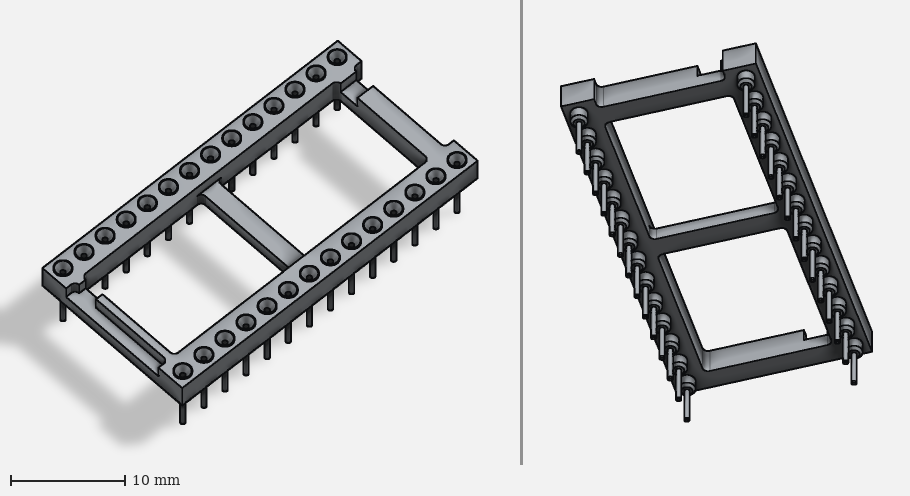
import cadquery as cq

length = 35.55
width = 17.78
frame_height = 2.63
rail_width = 3.02
ledge_height = 1.35
corner_radius = 0.5

bar_width = 1.9
end_recess = 1.1
notch_length = 2.15

rows = 2
pins_per_row = 14
pin_pitch = 2.54
row_spacing = 6 * pin_pitch
rim_diameter = 1.7
rim_height = 0.07
collar_diameter = 1.53
collar_tip_diameter = 1.0
collar_length = 1.0
collar_taper = 0.3
pin_diameter = 0.5
pin_bottom = -5.1
pin_chamfer = 0.1

cone_diameter = 1.53
cone_depth = 0.65
bore_diameter = 0.5
bore_depth = 1.42

half_length = length / 2
half_opening = width / 2 - rail_width
front_bar_inner = -half_length + bar_width
back_bar_outer = half_length - end_recess
back_bar_inner = back_bar_outer - bar_width
rim_top = frame_height + rim_height


def block(x_range, y_range, z_range):
    """Box given by its lower and upper limit along each axis."""
    sizes = [high - low for low, high in (x_range, y_range, z_range)]
    corner = (x_range[0], y_range[0], z_range[0])
    return cq.Workplane("XY").box(*sizes, centered=False).translate(corner)


def window(y_low, y_high):
    """Full-height cutter between the rails with all four upright edges rounded."""
    cutter = block((-half_opening, half_opening), (y_low, y_high), (0, frame_height))
    return cutter.edges("|Z").fillet(corner_radius)


def recess(y_inner, y_outer, z_low):
    """Cutter open at one end of the frame, with rounded corners only at its inner end."""
    y_range = (min(y_inner, y_outer), max(y_inner, y_outer))
    cutter = block((-half_opening, half_opening), y_range, (z_low, frame_height))
    inner_edges = "|Z and >Y" if y_inner > y_outer else "|Z and <Y"
    return cutter.edges(inner_edges).fillet(corner_radius)


def make_frame():
    frame = block((-width / 2, width / 2), (-half_length, half_length), (0, frame_height))

    middle_y = (front_bar_inner + back_bar_inner) / 2
    frame = frame.cut(window(front_bar_inner, middle_y - bar_width / 2))
    frame = frame.cut(window(middle_y + bar_width / 2, back_bar_inner))

    above_bar = block(
        (-half_opening, half_opening),
        (middle_y - bar_width / 2 - corner_radius, middle_y + bar_width / 2 + corner_radius),
        (ledge_height, frame_height),
    )
    frame = frame.cut(above_bar)

    frame = frame.cut(recess(back_bar_outer, half_length, 0))
    frame = frame.cut(recess(-half_length + end_recess, -half_length, ledge_height))

    notch_start = -half_opening + corner_radius
    notch_x = (notch_start, notch_start + notch_length)
    notch_z = (ledge_height, frame_height)
    frame = frame.cut(block(notch_x, (-half_length, front_bar_inner), notch_z))
    return frame.cut(block(notch_x, (back_bar_inner, back_bar_outer), notch_z))


def make_pin():
    """Turned pin about the Z axis, without its lead-in."""
    collar_bottom = -collar_length - collar_taper
    profile = [
        (0, rim_top),
        (rim_diameter / 2, rim_top),
        (rim_diameter / 2, frame_height),
        (collar_diameter / 2, frame_height),
        (collar_diameter / 2, -collar_length),
        (collar_tip_diameter / 2, collar_bottom),
        (pin_diameter / 2, collar_bottom),
        (pin_diameter / 2, pin_bottom + pin_chamfer),
        (pin_diameter / 2 - pin_chamfer, pin_bottom),
        (0, pin_bottom),
    ]
    return cq.Workplane("XZ").polyline(profile).close().revolve(360, (0, 0), (0, 1))


def make_lead_in():
    """Cutter for the cone and bore in the top of a pin."""
    profile = [
        (0, rim_top),
        (cone_diameter / 2, rim_top),
        (bore_diameter / 2, rim_top - cone_depth),
        (bore_diameter / 2, rim_top - bore_depth),
        (0, rim_top - bore_depth),
    ]
    return cq.Workplane("XZ").polyline(profile).close().revolve(360, (0, 0), (0, 1))


def at_pins(shape):
    """Copies of a shape at every pin position."""
    grid = cq.Workplane("XY").rarray(row_spacing, pin_pitch, rows, pins_per_row)
    return grid.eachpoint(lambda place: shape.val().moved(place))


result = make_frame().union(at_pins(make_pin())).cut(at_pins(make_lead_in()))